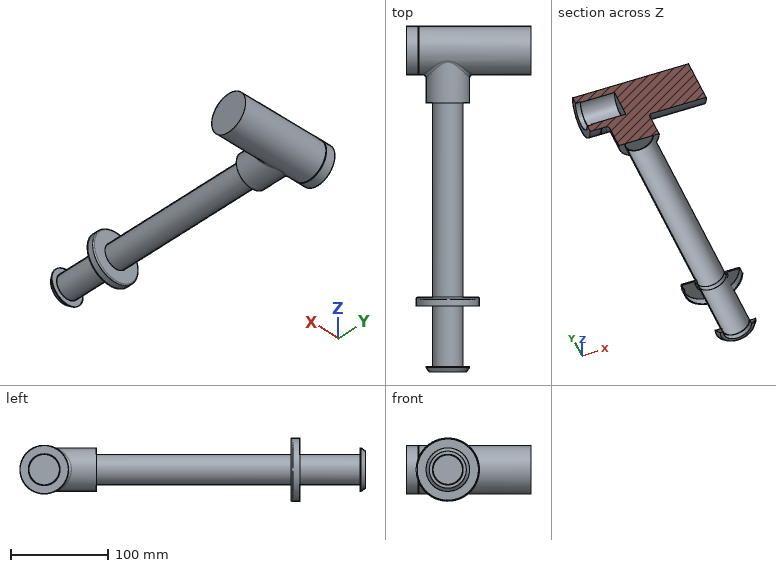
import cadquery as cq

body_diameter = 50.0
body_left = -42.7
body_length = 128.5
collar_length = 12.0
groove_width = 0.7
groove_depth = 0.5

branch_diameter = 45.0
branch_reach = 53.7
branch_fillet = 3.0

overall_length = 355.8
tube_diameter = 31.5
tube_end = body_diameter / 2 - overall_length

lip_diameter = 45.0
lip_face_diameter = 38.0
lip_length = 5.7
lip_edge = 1.0

tube_mouth_diameter = 31.0
tube_bore_diameter = 30.2
inlet_mouth_diameter = 32.7
inlet_bore_diameter = 31.3
mouth_depth = 5.5

flange_diameter = 65.0
flange_thickness = 9.3
flange_wall = 1.0
flange_plate = 2.0
flange_edge_fillet = 1.5
flange_back = -253.5

hub_diameter = 35.5
hub_length = 3.0


def rod_along_x(diameter, start, length):
    """Solid cylinder on the X axis, running towards +X from start."""
    return cq.Workplane("YZ", origin=(start, 0, 0)).circle(diameter / 2).extrude(length)


def rod_along_y(diameter, start, length):
    """Solid cylinder on the Y axis, running towards -Y from start."""
    return cq.Workplane("XZ", origin=(0, start, 0)).circle(diameter / 2).extrude(length)


def make_tee():
    """Trap body and branch, blended where they meet."""
    tee = rod_along_x(body_diameter, body_left, body_length).union(
        rod_along_y(branch_diameter, 0, branch_reach)
    )
    reach = branch_diameter / 2 + branch_fillet
    junction = cq.selectors.BoxSelector(
        (-reach, -body_diameter / 2 - branch_fillet, -reach),
        (reach, -branch_fillet, reach),
    )
    return tee.edges(junction).edges("not(%LINE or %CIRCLE)").fillet(branch_fillet)


def make_collar_groove():
    """Ring that cuts the fine groove behind the body's left collar."""
    start = body_left + collar_length
    return rod_along_x(body_diameter, start, groove_width).cut(
        rod_along_x(body_diameter - 2 * groove_depth, start, groove_width)
    )


def make_lip():
    """Lip with a short straight edge and a bevelled front."""
    lip_back = tube_end + lip_length
    edge_front = lip_back - lip_edge
    outer = lip_diameter / 2
    face = lip_face_diameter / 2
    return (
        cq.Workplane("XY")
        .moveTo(0, lip_back)
        .lineTo(outer, lip_back)
        .lineTo(outer, edge_front)
        .lineTo(face, tube_end)
        .lineTo(0, tube_end)
        .close()
        .revolve(360, (0, 0, 0), (0, 1, 0))
    )


def make_trap():
    """Tee, wall tube and lip as one solid with two blind bores."""
    inlet_depth = -body_left
    tube_bore_depth = -branch_reach - tube_end
    trap = make_tee().cut(make_collar_groove())
    trap = trap.union(rod_along_y(tube_diameter, 0, -tube_end)).union(make_lip())
    trap = trap.cut(rod_along_x(inlet_mouth_diameter, body_left, mouth_depth))
    trap = trap.cut(rod_along_x(inlet_bore_diameter, body_left, inlet_depth))
    trap = trap.cut(rod_along_y(tube_mouth_diameter, tube_end + mouth_depth, mouth_depth))
    return trap.cut(rod_along_y(tube_bore_diameter, -branch_reach, tube_bore_depth))


def make_flange():
    """Dished wall flange with a hub that fits the tube."""
    disc = rod_along_y(flange_diameter, flange_back, flange_thickness)
    disc = disc.faces(">Y").edges().fillet(flange_edge_fillet)
    recess = rod_along_y(flange_diameter - 2 * flange_wall, flange_back - flange_plate, flange_thickness)
    hub = rod_along_y(hub_diameter, flange_back - flange_plate, hub_length)
    hole = rod_along_y(tube_diameter, flange_back, flange_thickness)
    return disc.cut(recess).union(hub).cut(hole)


trap = make_trap()
flange = make_flange()

result = cq.Compound.makeCompound([trap.val(), flange.val()])